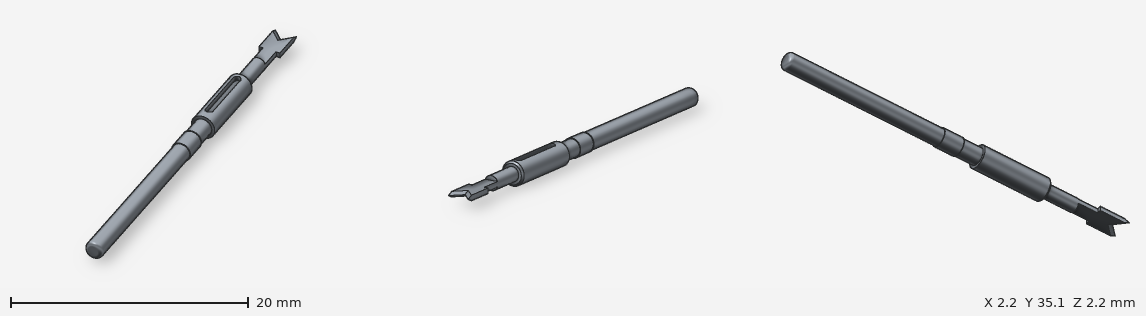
import cadquery as cq

total_length = 35.1
tip_y = total_length
blade_shoulder_y = 32.08
flat_end_y = 30.1
sleeve_front_y = 27.0
sleeve_rear_y = 20.0
ring_front_y = 18.0
ring_rear_y = 16.0

rod_diameter = 1.35
sleeve_diameter = 2.2
sleeve_chamfer = 0.18
barrel_diameter = 1.65
ring_diameter = 1.8
tail_fillet = 0.35

blade_width = 2.0
blade_thickness = 0.5
bevel_length = 0.5
notch_depth = blade_width / 2

window_width = 0.7
window_front_y = 26.45
window_rear_y = 20.78


def cylinder(diameter, rear_y, front_y):
    """Cylinder on the Y axis between two stations."""
    section = cq.Workplane("XZ", origin=(0, rear_y, 0)).circle(diameter / 2)
    return section.extrude(rear_y - front_y)


def make_barrel():
    """Rear tube with a rounded tail and a raised ring."""
    tube = cylinder(barrel_diameter, 0, sleeve_rear_y).faces("<Y").edges().fillet(tail_fillet)
    return tube.union(cylinder(ring_diameter, ring_rear_y, ring_front_y))


def make_sleeve():
    """Sleeve with a round-ended window that bares the rod inside it."""
    sleeve = cylinder(sleeve_diameter, sleeve_rear_y, sleeve_front_y)
    sleeve = sleeve.faces(">Y").edges().chamfer(sleeve_chamfer)
    window = (
        cq.Workplane("XY")
        .center(0, (window_front_y + window_rear_y) / 2)
        .slot2D(window_front_y - window_rear_y, window_width, 90)
        .extrude(sleeve_diameter / 2)
    )
    return sleeve.cut(window)


def make_rod():
    """Plunger rod, flattened to the blade thickness at its front."""
    round_part = cylinder(rod_diameter, sleeve_rear_y, flat_end_y)
    flat_length = blade_shoulder_y - flat_end_y
    slab = cq.Workplane("XY").box(rod_diameter, flat_length, blade_thickness)
    slab = slab.translate((0, flat_end_y + flat_length / 2, 0))
    neck = cylinder(rod_diameter, flat_end_y, blade_shoulder_y).intersect(slab)
    return round_part.union(neck)


def blade_profile(edge_y):
    """Lengthwise section of the blade, in (Y, Z), sharpened to an edge at edge_y."""
    half = blade_thickness / 2
    bevel_y = edge_y - bevel_length
    return [
        (blade_shoulder_y, -half),
        (bevel_y, -half),
        (edge_y, 0),
        (bevel_y, half),
        (blade_shoulder_y, half),
    ]


def make_blade():
    """Each half runs from the bottom of the notch to a point at the outer side."""
    half_blade = (
        cq.Workplane("YZ")
        .polyline(blade_profile(tip_y - notch_depth))
        .close()
        .workplane(offset=blade_width / 2)
        .polyline(blade_profile(tip_y))
        .close()
        .loft(ruled=True)
    )
    return half_blade.union(half_blade.mirror("YZ"))


result = make_sleeve().union(make_barrel()).union(make_rod()).union(make_blade())